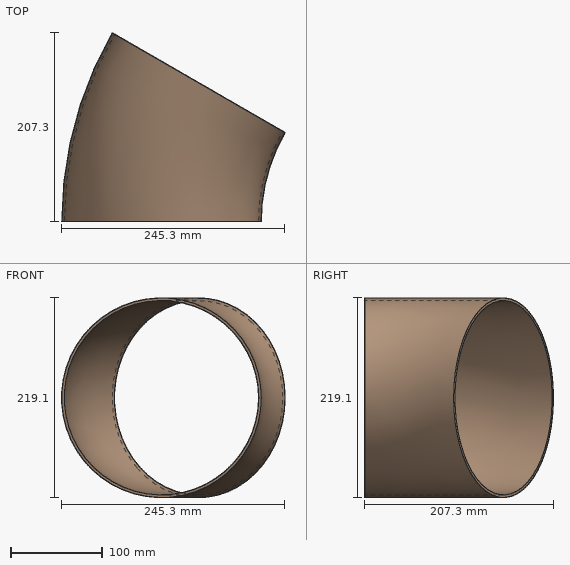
import cadquery as cq

outer_diameter = 219.1
wall_thickness = 3.0
bend_radius = 305.0
bend_angle = 30.0

outer_radius = outer_diameter / 2
inner_radius = outer_radius - wall_thickness


def pipe_elbow():
    """Revolve the pipe ring from the y = 0 plane toward +Y about a vertical axis on its +X side."""
    ring = cq.Workplane("XZ").circle(outer_radius).circle(inner_radius)
    axis_start = (bend_radius, 0)
    axis_end = (bend_radius, -1)
    return ring.revolve(bend_angle, axis_start, axis_end)


result = pipe_elbow()